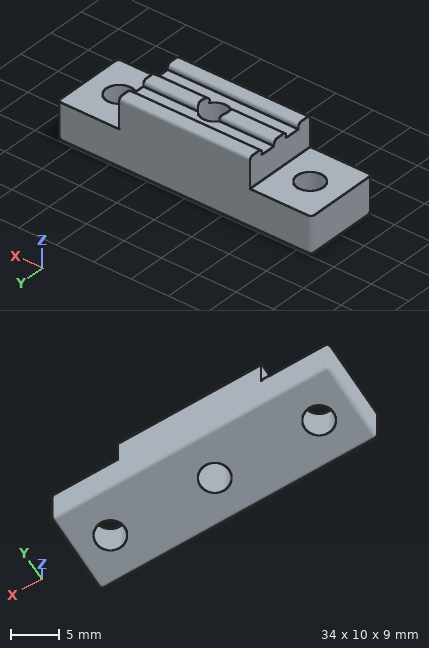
import cadquery as cq

length = 34.0
width = 10.0
base_height = 5.0

total_height = 9.0
block_length = 17.5
rail_count = 3
rail_width = width / (2 * rail_count - 1)
rail_pitch = 2 * rail_width
groove_depth = 0.75

hole_diameter = 3.5
hole_pitch = 12.75

edge_radius = 0.5


def make_base():
    """Bar with rounded upright corners and a rounded bottom rim."""
    bar = cq.Workplane("XY").box(length, width, base_height, centered=(True, True, False))
    return bar.edges("|Z").fillet(edge_radius).faces("<Z").edges().fillet(edge_radius)


def make_block():
    """Plain raised block up to the groove floors."""
    height = total_height - groove_depth - base_height
    plane = cq.Workplane("XY").workplane(offset=base_height)
    return plane.box(block_length, width, height, centered=(True, True, False))


def make_rail(y_center):
    """Rail along X with both top edges rounded."""
    plane = cq.Workplane("XY", origin=(0, y_center, total_height - groove_depth))
    rail = plane.box(block_length, rail_width, groove_depth, centered=(True, True, False))
    return rail.edges("|X and >Z").fillet(edge_radius)


def make_holes():
    """Three cylinders passing through the full height along the centre line."""
    centers = [(-hole_pitch, 0), (0, 0), (hole_pitch, 0)]
    return cq.Workplane("XY").pushPoints(centers).circle(hole_diameter / 2).extrude(total_height)


body = make_base().union(make_block())
for index in range(rail_count):
    y_center = (index - (rail_count - 1) / 2) * rail_pitch
    body = body.union(make_rail(y_center))

result = body.clean().cut(make_holes())